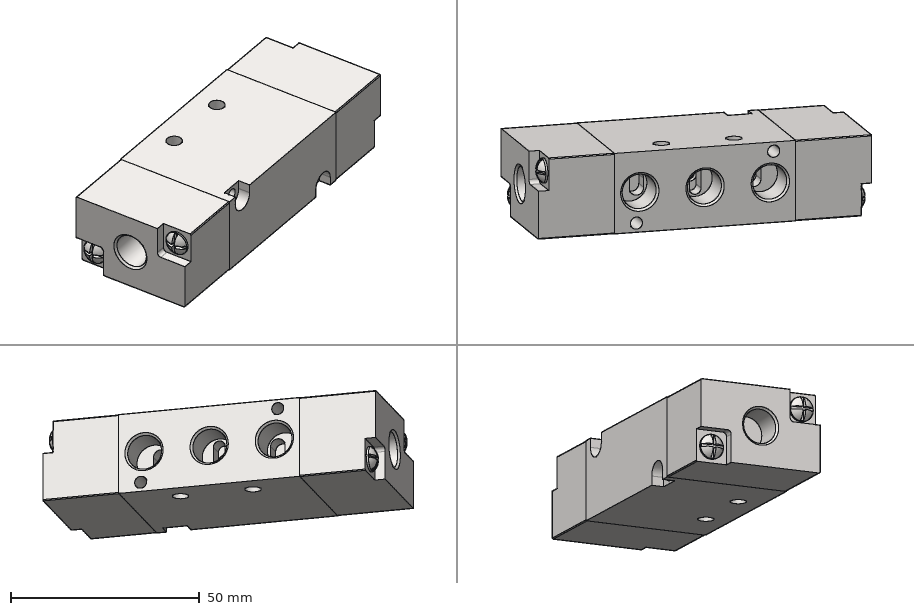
import cadquery as cq

LENGTH = 92.0
WIDTH = 35.0
HEIGHT = 22.0
CAP_LENGTH = 21.0
BODY_LENGTH = LENGTH - 2 * CAP_LENGTH
CAP_EDGE_CHAMFER = 0.3

PORT_DIA = 9.4
PORT_MOUTH_DIA = 10.6
PORT_CHAMFER = (PORT_MOUTH_DIA - PORT_DIA) / 2
PORT_DEPTH = 9.2
PORT_PITCH = 18.0

PASSAGE_DEPTH = 4.6
OUTER_SLOT_WIDTH = 4.0
OUTER_SLOT_HEIGHT = 6.4
OUTER_SLOT_PITCH = 16.2
CENTRE_SLOT_WIDTH = 3.2
CENTRE_SLOT_HEIGHT = 8.3
CENTRE_HOLE_DEPTH = 1.8

MOUNT_HOLE_DIA = 4.3
MOUNT_HOLE_X = -10.5
MOUNT_HOLE_Y = 10.0

CROSS_HOLE_DIA = 3.3
CROSS_HOLE_Y = 18.95
CROSS_HOLE_Z = 8.5
RECESS_WIDTH = 6.7
RECESS_DEPTH = 3.5

NOTCH_SIZE = 8.8
NOTCH_DEPTH = 2.85
NOTCH_FILLET = 1.1
SCREW_X = 13.2
SCREW_Z = 6.6
SCREW_HEAD_DIA = 6.7
SCREW_RIM_HEIGHT = 0.55
SCREW_HEAD_HEIGHT = 2.2
DRIVE_SLOT_WIDTH = 0.8
DRIVE_SLOT_FLOOR = 0.7


def side_plane(y, z, x=-WIDTH / 2):
    """Plane facing -X, with local x along -Y and local y along Z."""
    return cq.Plane(origin=(x, y, z), xDir=(0, -1, 0), normal=(-1, 0, 0))


def port_cutter(plane):
    """Blind port with a chamfered mouth, sunk into the face on the plane."""
    bore = cq.Workplane(plane).circle(PORT_DIA / 2).extrude(-PORT_DEPTH)
    mouth = (
        cq.Workplane(plane)
        .circle(PORT_MOUTH_DIA / 2)
        .workplane(offset=-PORT_CHAMFER)
        .circle(PORT_DIA / 2)
        .loft()
    )
    return bore.union(mouth)


def passage_cutter(y, width, height):
    """Upright rounded slot sunk from the floor of a side port."""
    floor = side_plane(y, 0, -WIDTH / 2 + PORT_DEPTH)
    return cq.Workplane(floor).slot2D(height, width, 90).extrude(-PASSAGE_DEPTH)


def recess_cutter(y, side):
    """Round-bottomed recess around a cross hole, open to the top (+1) or bottom (-1)."""
    opening_height = HEIGHT / 2 - CROSS_HOLE_Z
    plane = side_plane(y, side * CROSS_HOLE_Z, WIDTH / 2)
    round_end = cq.Workplane(plane).circle(RECESS_WIDTH / 2).extrude(RECESS_DEPTH)
    opening = (
        cq.Workplane(plane)
        .center(0, side * opening_height / 2)
        .rect(RECESS_WIDTH, opening_height)
        .extrude(RECESS_DEPTH)
    )
    return round_end.union(opening)


def make_body():
    body = cq.Workplane("XY").box(WIDTH, BODY_LENGTH, HEIGHT)

    for row in (-1, 0, 1):
        body = body.cut(port_cutter(side_plane(row * PORT_PITCH, 0)))
    for side in (-1, 1):
        body = body.cut(passage_cutter(side * OUTER_SLOT_PITCH, OUTER_SLOT_WIDTH, OUTER_SLOT_HEIGHT))
    body = body.cut(passage_cutter(0, CENTRE_SLOT_WIDTH, CENTRE_SLOT_HEIGHT))

    slot_floor = side_plane(0, 0, -WIDTH / 2 + PORT_DEPTH + PASSAGE_DEPTH)
    body = body.cut(cq.Workplane(slot_floor).circle(CENTRE_SLOT_WIDTH / 2).extrude(-CENTRE_HOLE_DEPTH))

    mount_points = [(MOUNT_HOLE_X, -MOUNT_HOLE_Y), (MOUNT_HOLE_X, MOUNT_HOLE_Y)]
    mount_holes = (
        cq.Workplane("XY", origin=(0, 0, -HEIGHT / 2))
        .pushPoints(mount_points)
        .circle(MOUNT_HOLE_DIA / 2)
        .extrude(HEIGHT)
    )
    body = body.cut(mount_holes)

    for side in (1, -1):
        y = -side * CROSS_HOLE_Y
        hole = cq.Workplane(side_plane(y, side * CROSS_HOLE_Z)).circle(CROSS_HOLE_DIA / 2).extrude(-WIDTH)
        body = body.cut(hole).cut(recess_cutter(y, side))
    return body


def notch_cutter(side):
    """Corner notch at +X+Z (side 1) or -X-Z (side -1), with one rounded inner edge."""
    return (
        cq.Workplane("XY")
        .box(2 * NOTCH_SIZE, 2 * NOTCH_DEPTH, 2 * NOTCH_SIZE)
        .edges("|Y")
        .fillet(NOTCH_FILLET)
        .translate((side * WIDTH / 2, -LENGTH / 2, side * HEIGHT / 2))
    )


def screw_head(side):
    """Domed head with a cross drive, standing on the floor of a notch."""
    radius = SCREW_HEAD_DIA / 2
    dome_height = SCREW_HEAD_HEIGHT - SCREW_RIM_HEIGHT
    dome_radius = (radius**2 + dome_height**2) / (2 * dome_height)
    post = cq.Workplane("XY").circle(radius).extrude(SCREW_HEAD_HEIGHT)
    ball = cq.Workplane("XY").sphere(dome_radius).translate((0, 0, SCREW_HEAD_HEIGHT - dome_radius))
    head = post.intersect(ball)
    for size in ((SCREW_HEAD_DIA, DRIVE_SLOT_WIDTH), (DRIVE_SLOT_WIDTH, SCREW_HEAD_DIA)):
        drive = cq.Workplane("XY").workplane(offset=DRIVE_SLOT_FLOOR).rect(*size).extrude(SCREW_HEAD_HEIGHT)
        head = head.cut(drive)
    floor_y = -LENGTH / 2 + NOTCH_DEPTH
    return head.rotate((0, 0, 0), (1, 0, 0), 90).translate((side * SCREW_X, floor_y, side * SCREW_Z))


def make_cap():
    """Cap at the -Y end, with its two screw heads part of the same solid."""
    cap = (
        cq.Workplane("XY")
        .box(WIDTH, CAP_LENGTH, HEIGHT)
        .edges("|Y")
        .chamfer(CAP_EDGE_CHAMFER)
        .translate((0, -(BODY_LENGTH + CAP_LENGTH) / 2, 0))
    )
    cap = cap.cut(port_cutter(cq.Plane(origin=(0, -LENGTH / 2, 0), xDir=(1, 0, 0), normal=(0, -1, 0))))
    for side in (-1, 1):
        cap = cap.cut(notch_cutter(side)).union(screw_head(side))
    return cap


body = make_body()

caps = []
for angle in (0, 180):
    caps.append(make_cap().rotate((0, 0, 0), (0, 0, 1), angle).val())

result = cq.Compound.makeCompound([body.val(), *caps])